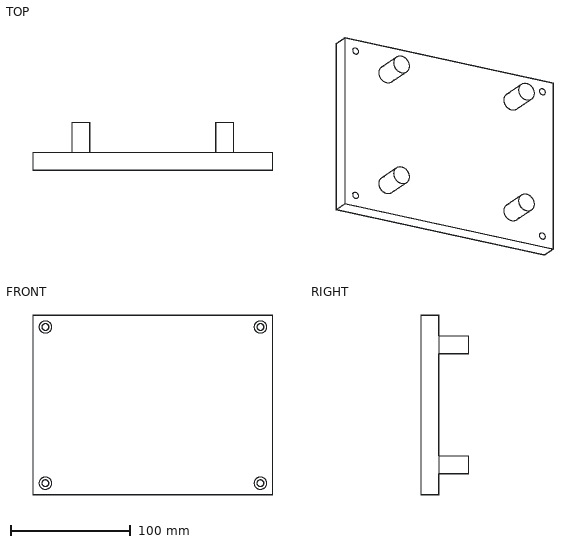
import cadquery as cq

plate_width = 200.0
plate_height = 150.0
plate_thickness = 15.0

overall_depth = 40.0
peg_diameter = 15.0
peg_length = overall_depth - plate_thickness
peg_spacing_x = 120.0
peg_spacing_z = 100.0

hole_diameter = 5.5
countersink_diameter = 10.4
countersink_angle = 90.0
hole_margin_left = 10.45
hole_margin_right = 10.15
hole_margin_top = 10.0
hole_margin_bottom = 9.7
hole_columns = (hole_margin_left - plate_width / 2, plate_width / 2 - hole_margin_right)
hole_rows = (hole_margin_bottom - plate_height / 2, plate_height / 2 - hole_margin_top)


def make_plate():
    """Flat plate reaching from Y = 0 to its thickness."""
    return cq.Workplane("XY").box(
        plate_width, plate_thickness, plate_height, centered=(True, False, True)
    )


def make_pegs():
    """Four pegs running from the back face to the full depth."""
    return (
        cq.Workplane("XZ", origin=(0, plate_thickness, 0))
        .rarray(peg_spacing_x, peg_spacing_z, 2, 2)
        .circle(peg_diameter / 2)
        .extrude(-peg_length)
    )


def cut_screw_holes(plate):
    """Through holes, countersunk from the front face."""
    hole_centers = [(x, z) for x in hole_columns for z in hole_rows]
    return (
        plate.faces("<Y")
        .workplane(centerOption="CenterOfBoundBox")
        .pushPoints(hole_centers)
        .cskHole(hole_diameter, countersink_diameter, countersink_angle)
    )


result = cut_screw_holes(make_plate()).union(make_pegs())